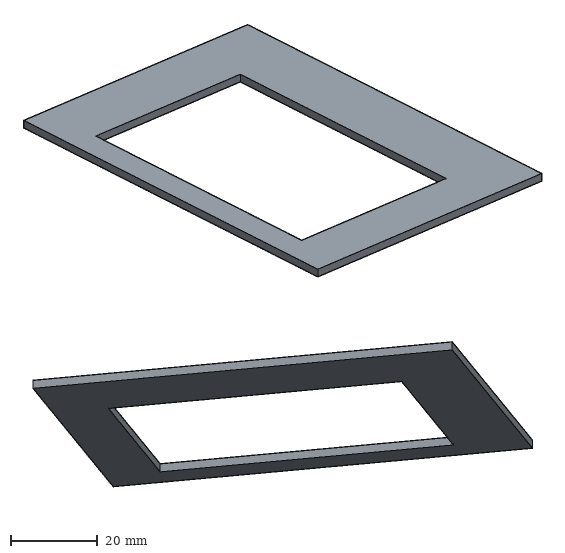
import cadquery as cq

plate_length = 100.0
plate_width = 70.0
plate_thickness = 2.0

window_length = 69.95
window_width = 45.1
left_margin = 16.95
front_margin = 7.0


def make_plate():
    """Flat plate with one corner at the origin."""
    return cq.Workplane("XY").box(plate_length, plate_width, plate_thickness, centered=False)


def make_window():
    """Block that cuts the window through the full plate thickness."""
    block = cq.Workplane("XY").box(window_length, window_width, plate_thickness, centered=False)
    return block.translate((left_margin, front_margin, 0))


result = make_plate().cut(make_window())